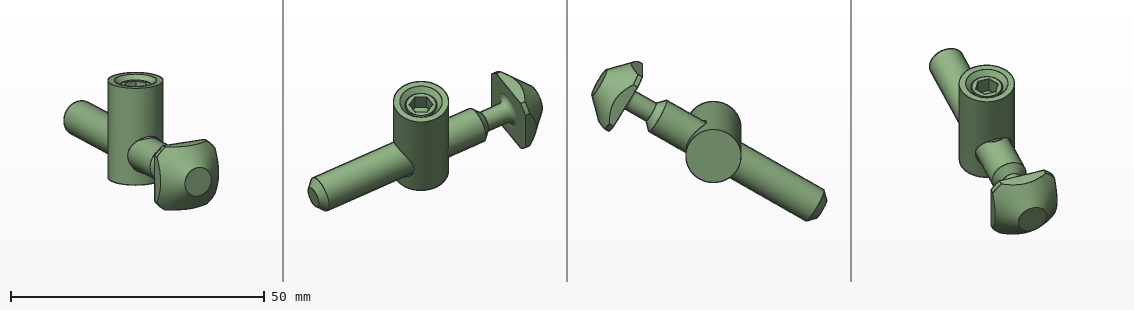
import cadquery as cq
import math


rod_left = -24.8
rod_length = 51.0
rod_right = rod_left + rod_length
rod_radius = 3.55
end_chamfer = 1.5
neck_radius = 2.05
shoulder_start = 12.8
shoulder_end = shoulder_start + rod_radius - neck_radius

head_width = 13.0
head_face = 20.15
corner_radius = 8.0
corner_end = 21.15
tip_radius = corner_radius - (rod_right - corner_end)

blend_radius = 1.45
blend_start = 18.75
blend_center_radius = neck_radius + blend_radius
blend_half_width = math.sqrt(blend_radius**2 - (head_face - blend_start) ** 2)
blend_inner = blend_center_radius - blend_half_width
blend_outer = blend_center_radius + blend_half_width

seat_offset = 2.05
seat_radius = 3.7
seat_depth = seat_radius

sleeve_radius = 5.45
sleeve_top = 13.95
sleeve_bottom = -6.0
cross_hole_radius = 3.8

mouth_radius = 4.2
floor_radius = 3.15
countersink_depth = mouth_radius - floor_radius
floor_z = sleeve_top - countersink_depth
land_radius = 2.95
land_z = floor_z + floor_radius - land_radius
hex_across_flats = 4.05
hex_depth = 3.05


def make_turned_rod():
    """Rod, neck and round head blank, revolved about X."""
    mid_angle = math.pi / 8
    blend_deepest = (blend_start + blend_radius, blend_center_radius)
    blend_mid = (
        blend_start + blend_radius * math.sin(mid_angle),
        blend_center_radius - blend_radius * math.cos(mid_angle),
    )
    profile = (
        cq.Workplane("XY")
        .moveTo(rod_left, 0)
        .lineTo(rod_left, rod_radius - end_chamfer)
        .lineTo(rod_left + end_chamfer, rod_radius)
        .lineTo(shoulder_start, rod_radius)
        .lineTo(shoulder_end, neck_radius)
        .lineTo(blend_start, neck_radius)
        .threePointArc(blend_mid, (head_face, blend_inner))
        .threePointArc(blend_deepest, (head_face, blend_outer))
        .lineTo(head_face, corner_radius)
        .lineTo(corner_end, corner_radius)
        .lineTo(rod_right, tip_radius)
        .lineTo(rod_right, 0)
        .close()
    )
    return profile.revolve(360, (0, 0, 0), (1, 0, 0))


def make_seat():
    """Cone pointing down into the rod from its top line."""
    return cq.Workplane(
        cq.Solid.makeCone(
            0, seat_radius, seat_depth, pnt=cq.Vector(seat_offset, 0, rod_radius - seat_depth)
        )
    )


def make_rod():
    """Rod whose head is trimmed to a square with rounded corners."""
    square_envelope = (
        cq.Workplane("YZ").workplane(offset=rod_left).rect(head_width, head_width).extrude(rod_length)
    )
    return make_turned_rod().intersect(square_envelope).cut(make_seat())


def make_sleeve():
    """Upright sleeve with a clearance hole for the rod and a hex socket on top."""
    body = (
        cq.Workplane("XZ")
        .moveTo(0, sleeve_bottom)
        .lineTo(sleeve_radius, sleeve_bottom)
        .lineTo(sleeve_radius, sleeve_top)
        .lineTo(mouth_radius, sleeve_top)
        .lineTo(floor_radius, floor_z)
        .lineTo(land_radius, land_z)
        .lineTo(0, land_z)
        .close()
        .revolve(360, (0, 0, 0), (0, 1, 0))
    )
    cross_hole = cq.Workplane("YZ").circle(cross_hole_radius).extrude(sleeve_radius, both=True)
    hex_across_corners = hex_across_flats / math.cos(math.pi / 6)
    hex_socket = (
        cq.Workplane("XY")
        .workplane(offset=land_z - hex_depth)
        .transformed(rotate=(0, 0, 90))
        .polygon(6, hex_across_corners)
        .extrude(hex_depth)
    )
    return body.cut(cross_hole).cut(hex_socket)


rod = make_rod()
sleeve = make_sleeve()
result = cq.Compound.makeCompound([rod.solids().val(), sleeve.solids().val()])